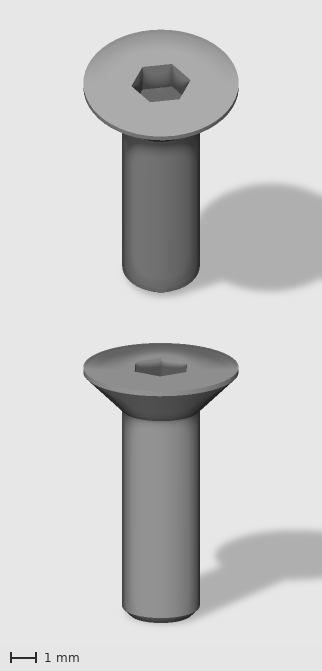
import cadquery as cq
import math

total_length = 10.0
head_radius = 3.0
shank_radius = 1.5
rim_height = 0.2
tip_chamfer = 0.3
socket_across_flats = 2.0
socket_depth = 1.2

cone_height = head_radius - shank_radius
rim_bottom = total_length - rim_height
head_bottom = rim_bottom - cone_height


def screw_body():
    """Revolve the half outline (radius, height) about the Z axis."""
    return (
        cq.Workplane("XZ")
        .moveTo(0, 0)
        .lineTo(shank_radius - tip_chamfer, 0)
        .lineTo(shank_radius, tip_chamfer)
        .lineTo(shank_radius, head_bottom)
        .lineTo(head_radius, rim_bottom)
        .lineTo(head_radius, total_length)
        .lineTo(0, total_length)
        .close()
        .revolve(360, (0, 0, 0), (0, 1, 0))
    )


def hex_socket():
    """Flat-bottomed hexagonal socket with two corners on the X axis."""
    across_corners = socket_across_flats / math.cos(math.pi / 6)
    return (
        cq.Workplane("XY")
        .workplane(offset=total_length - socket_depth)
        .polygon(6, across_corners)
        .extrude(socket_depth)
    )


result = screw_body().cut(hex_socket())